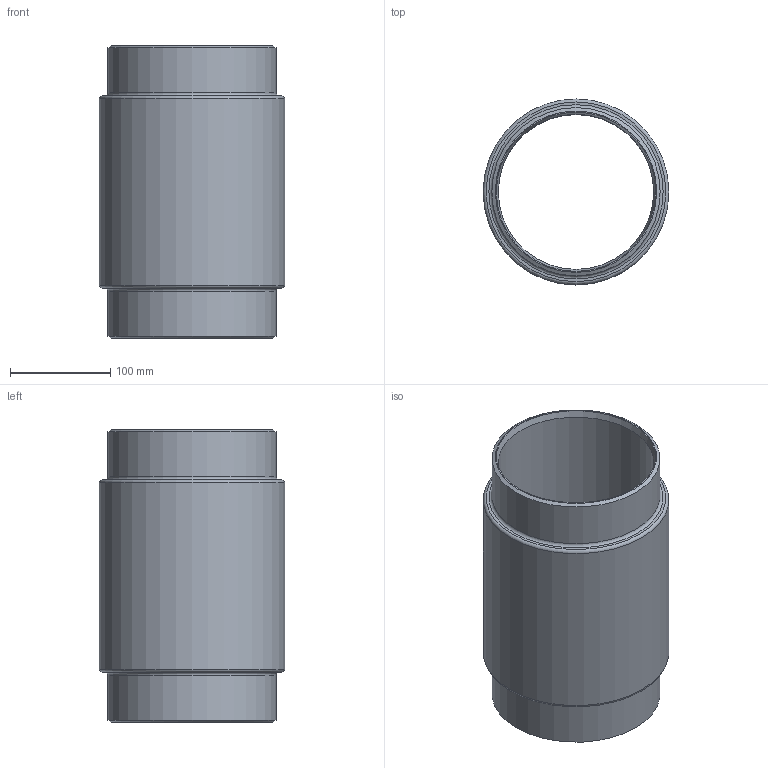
import cadquery as cq

total_length = 292.0
sleeve_diameter = 185.7
sleeve_length = 192.0
pipe_diameter = 168.3
bore_diameter = 155.3

shoulder_radius = 3.0

outer_chamfer_width = 3.5
outer_chamfer_length = 2.0
inner_taper_width = 2.0
inner_taper_length = 6.5

half_length = total_length / 2
half_sleeve = sleeve_length / 2
sleeve_radius = sleeve_diameter / 2
pipe_radius = pipe_diameter / 2
bore_radius = bore_diameter / 2

height_tolerance = 0.01


def make_turned_body():
    """Turn the wall section, symmetric about the middle plane, around the Z axis."""
    upper_corners = [
        (sleeve_radius, half_sleeve),
        (pipe_radius, half_sleeve),
        (pipe_radius, half_length - outer_chamfer_length),
        (pipe_radius - outer_chamfer_width, half_length),
        (bore_radius + inner_taper_width, half_length),
        (bore_radius, half_length - inner_taper_length),
    ]
    lower_corners = [(radius, -height) for radius, height in reversed(upper_corners)]
    section = cq.Workplane("XZ").polyline(upper_corners + lower_corners).close()
    return section.revolve(360, (0, 0), (0, 1))


def is_shoulder_edge(edge):
    """True for the circles at the outer edge and the root of either sleeve shoulder."""
    return abs(abs(edge.Center().z) - half_sleeve) < height_tolerance


def round_shoulders(body):
    """Round the outer edge and fill the root of both sleeve shoulders."""
    return body.edges("%CIRCLE").filter(is_shoulder_edge).fillet(shoulder_radius)


result = round_shoulders(make_turned_body())